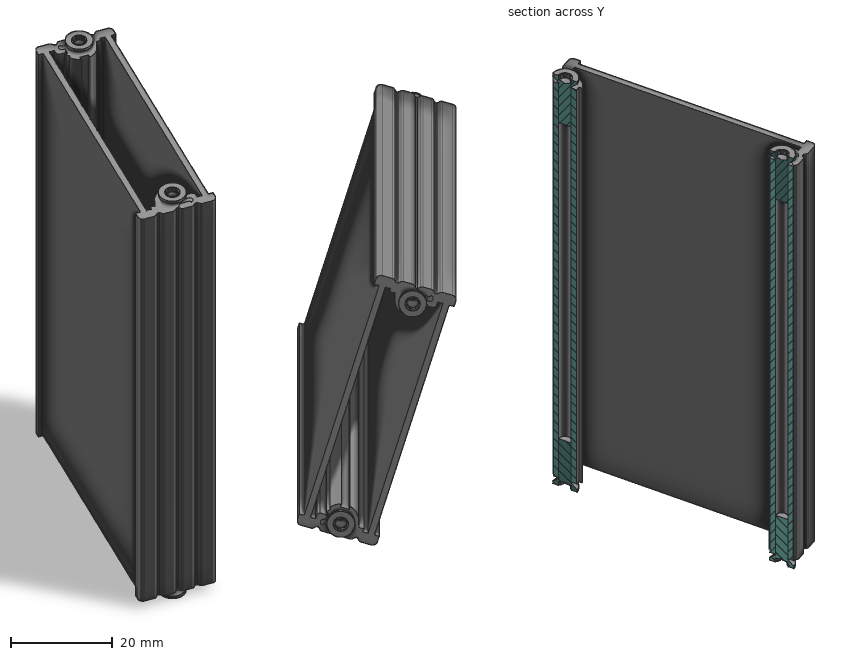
import cadquery as cq
import math

WIDTH = 55.3
DEPTH = 16.4
LENGTH = 100.0
SIDE_THICKNESS = 2.2
CORNER_RADIUS = 1.0
PLATE_THICKNESS = 1.3
PLATE_INSET = 1.0
GROOVE_PITCH = 4.0
GROOVE_DEPTH = 0.65
GROOVE_FLOOR_WIDTH = 0.4
GROOVE_EDGE_RADIUS = 0.6
PLATE_FILLET = 0.25

PORT_INSET = 3.25
PORT_RADIUS = 3.5
BORE_DIAMETER = 2.68
SLOT_WIDTH = 1.8
SLOT_DEPTH = 0.8
STEP_REACH = 0.65
STEP_Y = 4.85
STEP_HEIGHT = 1.0
FLANK_START_X = 0.65
BARB_NOTCH = (1.65, -2.6)
BARB_TIP = (1.0, -3.2)
PORT_END_X = 2.0
PORT_FLOOR_Y = -2.75
PORT_FLOOR_END = 0.6

TONGUE_LEFT = -1.65
TONGUE_RIGHT = -0.7
TONGUE_NECK_END = -3.0
TONGUE_HOOK_TIP = (-2.0, -3.2)
TONGUE_BOTTOM = (-1.2, -3.75)
TONGUE_HEEL_Y = -3.2
JOINT_SHOULDER_Y = -0.95
LIP_RIGHT = 0.35
LIP_CHAMFER = 0.45

SCREW_PROJECTION = 2.0
HEAD_DIAMETER = 5.5
HEAD_RIM = 0.65
SHANK_LENGTH = 10.0
SOCKET_ENTRY_DIAMETER = 3.0
SOCKET_ENTRY_DEPTH = 0.1
SOCKET_CORE_DIAMETER = 2.3
SOCKET_LOBE_DIAMETER = 0.5
SOCKET_DEPTH = 1.0
SOCKET_TIP_DEPTH = 0.4
LOBES = 6

half_depth = DEPTH / 2
half_length = LENGTH / 2
port_x = -WIDTH / 2 + PORT_INSET
outer_x = -PORT_INSET
groove_x = outer_x + GROOVE_DEPTH
rail_x = outer_x + SIDE_THICKNESS
lip_chamfer_start = LIP_RIGHT - LIP_CHAMFER
corner_sag = CORNER_RADIUS * (1 - math.sqrt(0.5))

groove_edge_depth = GROOVE_EDGE_RADIUS * (1 - math.sqrt(0.5))
groove_floor_y = GROOVE_FLOOR_WIDTH / 2
groove_flank_y = groove_floor_y + GROOVE_DEPTH - groove_edge_depth
groove_edge_y = groove_flank_y + GROOVE_EDGE_RADIUS * math.sqrt(0.5)


def on_port_circle(x, side):
    return (x, side * math.sqrt(PORT_RADIUS**2 - x**2))


def groove_flank_down(outline, middle, side):
    """Enter the groove centred at y = middle, arriving from its outer end, down to the floor."""
    return (
        outline.lineTo(outer_x, middle + side * groove_edge_y)
        .tangentArcPoint((outer_x + groove_edge_depth, middle + side * groove_flank_y), relative=False)
        .lineTo(groove_x, middle + side * groove_floor_y)
    )


def groove_flank_up(outline, middle, side):
    """Leave the groove from its floor back to the outer side face."""
    return (
        outline.lineTo(groove_x, middle - side * groove_floor_y)
        .lineTo(outer_x + groove_edge_depth, middle - side * groove_flank_y)
        .tangentArcPoint((outer_x, middle - side * groove_edge_y), relative=False)
    )


def rail_outline(side):
    """Outer part of a side rail, from its inside face round the end to the middle groove."""
    outline = (
        cq.Workplane("XY")
        .moveTo(rail_x, side * STEP_Y)
        .lineTo(rail_x, side * half_depth)
        .lineTo(outer_x + CORNER_RADIUS, side * half_depth)
        .threePointArc(
            (outer_x + corner_sag, side * (half_depth - corner_sag)),
            (outer_x, side * (half_depth - CORNER_RADIUS)),
        )
    )
    outline = groove_flank_down(outline, side * GROOVE_PITCH, side)
    outline = groove_flank_up(outline, side * GROOVE_PITCH, side)
    return groove_flank_down(outline, 0, side)


def joint_outline(outline):
    """Surface where the two half shells touch, from the middle groove round the tongue to the lip."""
    return (
        outline.lineTo(TONGUE_LEFT, JOINT_SHOULDER_Y)
        .lineTo(TONGUE_LEFT, TONGUE_NECK_END)
        .lineTo(*TONGUE_HOOK_TIP)
        .threePointArc(TONGUE_BOTTOM, (TONGUE_RIGHT, TONGUE_HEEL_Y))
        .lineTo(TONGUE_RIGHT, PORT_FLOOR_Y)
        .lineTo(lip_chamfer_start, PORT_FLOOR_Y)
    )


def port_side():
    step_x = rail_x + STEP_REACH
    upper_rail = rail_outline(1).lineTo(groove_x, -groove_floor_y)
    side = (
        joint_outline(upper_rail)
        .lineTo(PORT_FLOOR_END, PORT_FLOOR_Y)
        .lineTo(*BARB_TIP)
        .lineTo(*BARB_NOTCH)
        .lineTo(*on_port_circle(PORT_END_X, -1))
        .threePointArc((PORT_RADIUS, 0), on_port_circle(FLANK_START_X, 1))
        .lineTo(step_x, STEP_Y - STEP_HEIGHT)
        .lineTo(step_x, STEP_Y)
        .close()
        .extrude(LENGTH)
    )
    bore = cq.Workplane("XY").circle(BORE_DIAMETER / 2).extrude(LENGTH)
    slot = cq.Workplane("XY").center(PORT_RADIUS, 0).rect(2 * SLOT_DEPTH, SLOT_WIDTH).extrude(LENGTH)
    return side.cut(bore).cut(slot)


def lip_side():
    return (
        joint_outline(rail_outline(-1))
        .lineTo(LIP_RIGHT, PORT_FLOOR_Y - LIP_CHAMFER)
        .lineTo(LIP_RIGHT, -STEP_Y + LIP_CHAMFER)
        .lineTo(lip_chamfer_start, -STEP_Y)
        .close()
        .extrude(LENGTH)
    )


def half_shell():
    """Plate at +Y with the screw port on its -X edge and the lip on its +X edge."""
    to_port = cq.Vector(port_x, 0, -half_length)
    plate_y = half_depth - PLATE_INSET - PLATE_THICKNESS / 2
    inner_width = WIDTH - 2 * SIDE_THICKNESS
    plate = cq.Workplane("XY").box(inner_width, PLATE_THICKNESS, LENGTH)
    lip = lip_side().translate(to_port).rotate((0, 0, 0), (0, 0, 1), 180)
    shell = plate.translate((0, plate_y, 0)).union(port_side().translate(to_port)).union(lip)
    for x in (-inner_width / 2, inner_width / 2):
        corner = cq.NearestToPointSelector((x, half_depth - PLATE_INSET, 0))
        shell = shell.edges("|Z").edges(corner).fillet(PLATE_FILLET)
    return shell


def screw():
    """Screw on the Z axis, entering the upper end of the enclosure."""
    head_top = half_length + SCREW_PROJECTION
    head_radius = HEAD_DIAMETER / 2
    shank_radius = BORE_DIAMETER / 2
    body = (
        cq.Workplane("XZ")
        .moveTo(0, head_top)
        .lineTo(head_radius, head_top)
        .lineTo(head_radius, head_top - HEAD_RIM)
        .lineTo(shank_radius, half_length)
        .lineTo(shank_radius, half_length - SHANK_LENGTH)
        .lineTo(0, half_length - SHANK_LENGTH)
        .close()
        .revolve(360, (0, 0), (0, 1))
    )
    core_radius = SOCKET_CORE_DIAMETER / 2
    floor = head_top - SOCKET_DEPTH
    top = cq.Workplane("XY", origin=(0, 0, head_top))
    entry = top.circle(SOCKET_ENTRY_DIAMETER / 2).extrude(-SOCKET_ENTRY_DEPTH)
    core = top.circle(core_radius).extrude(-SOCKET_DEPTH)
    lobes = (
        top.polarArray(core_radius, 0, 360, LOBES)
        .circle(SOCKET_LOBE_DIAMETER / 2)
        .extrude(-SOCKET_DEPTH)
    )
    tip = cq.Workplane(cq.Solid.makeCone(core_radius, 0, SOCKET_TIP_DEPTH, pnt=(0, 0, floor), dir=(0, 0, -1)))
    return body.cut(entry).cut(core.union(lobes)).cut(tip)


first_half = half_shell()
second_half = first_half.rotate((0, 0, 0), (0, 0, 1), 180)

screws = []
for x in (port_x, -port_x):
    upper_screw = screw().translate((x, 0, 0))
    screws.append(upper_screw.val())
    screws.append(upper_screw.mirror("XY").val())

result = cq.Compound.makeCompound([first_half.val(), second_half.val(), *screws])